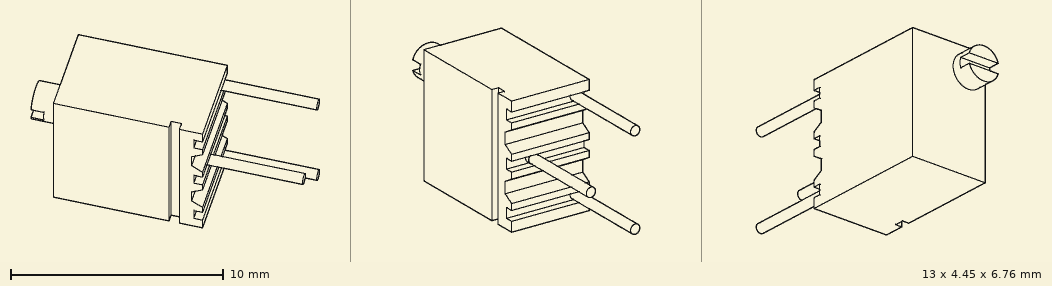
import cadquery as cq

total_length = 13
body_depth = 4.45
body_height = 6.76
screw_length = 1.15
body_length = 7.28
body_end = screw_length + body_length

screw_diameter = 1.86
screw_y = 1.04
screw_z = body_height - 1.25
driver_slot_width = 0.55
driver_slot_depth = 0.64

groove_width = 0.51
groove_depth = 0.38
groove_start = 6.79

pin_pitch = 2.54
pin_diameter = 0.53
outer_pin_y = 3.91
middle_pin_y = outer_pin_y - pin_pitch
middle_z = body_height / 2
outer_pin_zs = (middle_z - pin_pitch, middle_z + pin_pitch)

pin_slot_depth = 0.43
pin_slot_height = 0.56
pin_start = body_end - pin_slot_depth
collar_length = 0.25
notch_depth = 0.53
notch_mouth = 1.26
notch_floor = 0.64


def rod(start_x, y, z, diameter, length):
    """Cylinder that runs along +X from the given point."""
    return cq.Workplane("YZ", origin=(start_x, y, z)).circle(diameter / 2).extrude(length)


def make_body():
    body = cq.Workplane("XY").box(body_length, body_depth, body_height, centered=False)
    body = body.translate((screw_length, 0, 0))
    groove = cq.Workplane("XY").box(groove_width, groove_depth, body_height, centered=False)
    return body.cut(groove.translate((groove_start, 0, 0)))


def end_cut(z, depth, mouth, floor):
    """Cutter through the full body depth, with its mouth at the +X face."""
    outline = [
        (body_end, z - mouth / 2),
        (body_end, z + mouth / 2),
        (body_end - depth, z + floor / 2),
        (body_end - depth, z - floor / 2),
    ]
    return cq.Workplane("XZ").polyline(outline).close().extrude(-body_depth)


def make_screw():
    screw = rod(0, screw_y, screw_z, screw_diameter, screw_length)
    driver_slot = cq.Workplane("XY").box(
        driver_slot_depth, screw_diameter, driver_slot_width, centered=(False, True, True)
    )
    return screw.cut(driver_slot.translate((0, screw_y, screw_z)))


def make_pin(y, z):
    return rod(pin_start, y, z, pin_diameter, total_length - pin_start)


result = make_body()

for pin_z in (middle_z, *outer_pin_zs):
    result = result.cut(end_cut(pin_z, pin_slot_depth, pin_slot_height, pin_slot_height))

for side in (-1, 1):
    notch_z = middle_z + side * pin_pitch / 2
    result = result.cut(end_cut(notch_z, notch_depth, notch_mouth, notch_floor))

result = result.union(make_screw())

for pin_z in outer_pin_zs:
    result = result.union(make_pin(outer_pin_y, pin_z))

result = result.union(make_pin(middle_pin_y, middle_z))
result = result.union(rod(pin_start, middle_pin_y, middle_z, pin_slot_height, collar_length))